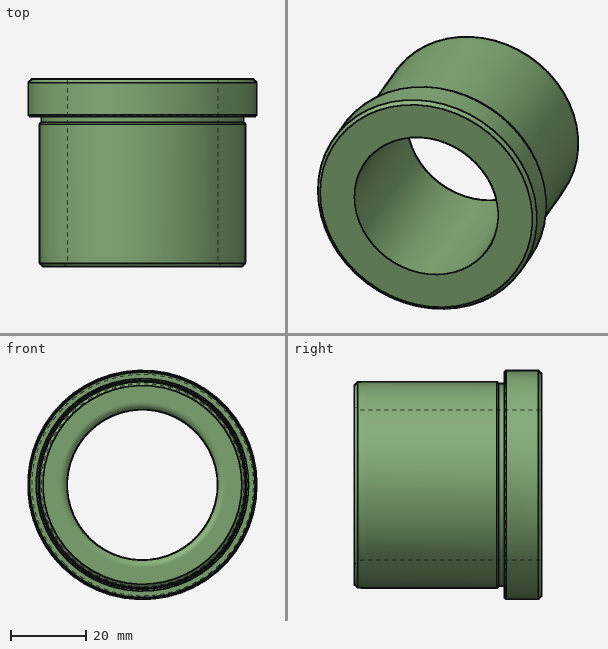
import cadquery as cq

length = 50.0
head_diameter = 61.0
head_length = 10.0
head_chamfer = 1.0
head_inner_chamfer = 0.5
body_diameter = 55.0
bore_diameter = 40.0
bore_mouth_radius = 2.0

groove_diameter = 54.05
groove_width = 2.0
groove_edge_chamfer = 0.5

recess_diameter = 56.6
recess_depth = 0.3
recess_slope_width = 0.5

lead_diameter = 54.9
lead_length = 3.0
end_chamfer = 1.0

head_radius = head_diameter / 2
body_radius = body_diameter / 2
lead_radius = lead_diameter / 2
groove_radius = groove_diameter / 2
recess_radius = recess_diameter / 2
bore_radius = bore_diameter / 2

free_end = -length / 2
head_end = length / 2
head_face = head_end - head_length
groove_start = head_face - groove_width


def outer_body():
    """Revolve the outer half profile, drawn as (radius, axial position)."""
    profile = (
        cq.Workplane("XY")
        .moveTo(0, free_end)
        .lineTo(lead_radius - end_chamfer, free_end)
        .lineTo(lead_radius, free_end + end_chamfer)
        .lineTo(body_radius, free_end + lead_length)
        .lineTo(body_radius, groove_start)
        .lineTo(groove_radius, groove_start + groove_edge_chamfer)
        .lineTo(groove_radius, head_face + recess_depth)
        .lineTo(recess_radius - recess_slope_width, head_face + recess_depth)
        .lineTo(recess_radius, head_face)
        .lineTo(head_radius - head_inner_chamfer, head_face)
        .lineTo(head_radius, head_face + head_inner_chamfer)
        .lineTo(head_radius, head_end - head_chamfer)
        .lineTo(head_radius - head_chamfer, head_end)
        .lineTo(0, head_end)
        .close()
    )
    return profile.revolve(360, (0, 0, 0), (0, 1, 0))


def bore():
    """Through bore whose mouth at the free end is rounded."""
    mouth_radius = bore_radius + bore_mouth_radius
    profile = (
        cq.Workplane("XY")
        .moveTo(0, free_end)
        .lineTo(mouth_radius, free_end)
        .radiusArc((bore_radius, free_end + bore_mouth_radius), bore_mouth_radius)
        .lineTo(bore_radius, head_end)
        .lineTo(0, head_end)
        .close()
    )
    return profile.revolve(360, (0, 0, 0), (0, 1, 0))


result = outer_body().cut(bore())